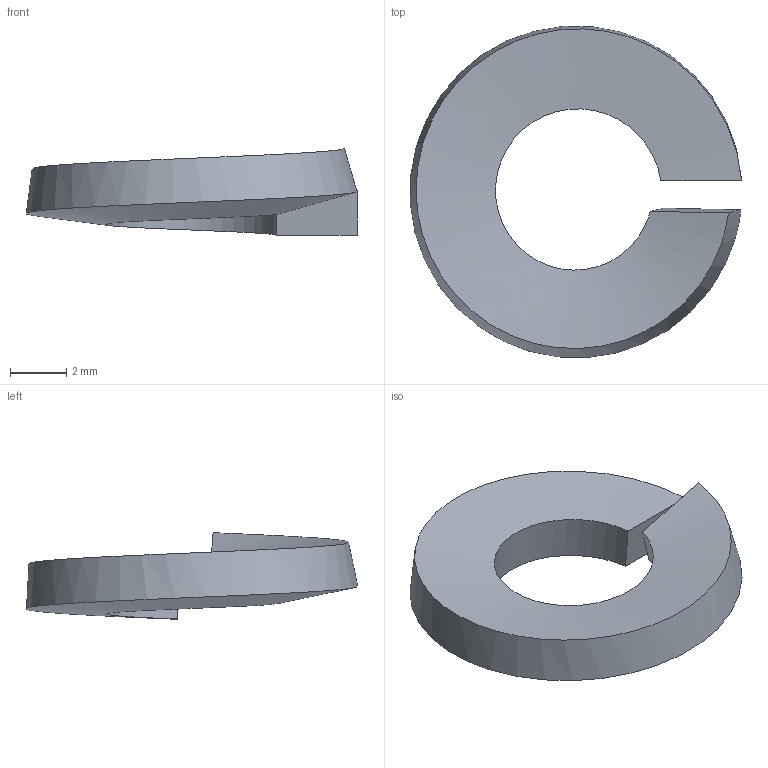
import cadquery as cq
import math

outer_radius = 5.9
inner_radius = 3.05
thickness = 1.6
rise = 1.55
end_twist = 15.7

gap_width = 1.04
gap_lean = 4.3

section_width = outer_radius - inner_radius
low_angle = math.degrees(math.asin(gap_width / 2 / outer_radius))
turn = 360 - 2 * low_angle

coil_start = 0.0
coil_end = 358.0
edge_steps = 48


def corner(angle, along_width, along_thickness):
    """Point of the section at an angle; the section turns about its outer bottom corner."""
    progress = (angle - low_angle) / turn
    tilt = math.radians(end_twist * progress)
    radius = outer_radius - along_width * math.cos(tilt) - along_thickness * math.sin(tilt)
    height = rise * progress - along_width * math.sin(tilt) + along_thickness * math.cos(tilt)
    theta = math.radians(angle)
    return cq.Vector(radius * math.cos(theta), radius * math.sin(theta), height)


def corner_edge(along_width, along_thickness):
    """Curve traced by one section corner along the coil."""
    step = (coil_end - coil_start) / edge_steps
    angles = [coil_start + step * i for i in range(edge_steps + 1)]
    return cq.Edge.makeSpline([corner(a, along_width, along_thickness) for a in angles])


def end_face(angle, section):
    """Flat face that closes the coil at an angle."""
    points = [corner(angle, *offsets) for offsets in section]
    return cq.Face.makeFromWires(cq.Wire.makePolygon(points, close=True))


def make_coil():
    """Twisted coil bounded by four ruled sides and two flat ends."""
    section = [(0, 0), (section_width, 0), (section_width, thickness), (0, thickness)]
    edges = [corner_edge(*offsets) for offsets in section]
    sides = [cq.Face.makeRuledSurface(edges[i - 1], edges[i]) for i in range(len(edges))]
    ends = [end_face(coil_start, section), end_face(coil_end, section)]
    return cq.Workplane(cq.Solid.makeSolid(cq.Shell.makeShell(sides + ends)).fix())


def make_gap():
    """Leaning slot on the +X side that leaves the two end faces."""
    reach = 2 * outer_radius
    return (
        cq.Workplane("XY")
        .box(reach, gap_width, reach, centered=(False, True, True))
        .rotate((0, 0, 0), (1, 0, 0), gap_lean)
    )


result = cq.Workplane(make_coil().cut(make_gap()).solids().val())